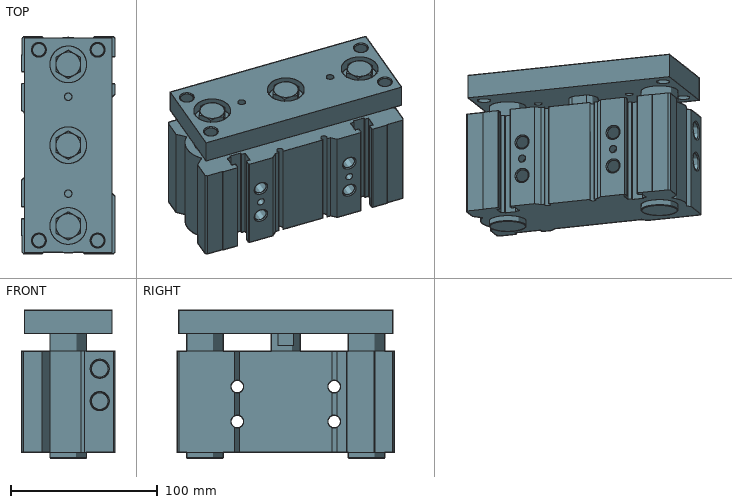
import cadquery as cq
import math


housing_width = 64.0
housing_length = 148
housing_height = 69.0
corner_chamfer = 1.2
lip_chamfer = 0.6
half_width = housing_width / 2
half_length = housing_length / 2

rod_diameter = 25.0
rod_spacing = 110.1
rod_overhang = 4.0
rod_end_chamfer = 0.5
piston_rod_diameter = 20.0
piston_rod_engagement = 44.4
wrench_flat_width = 17.0
wrench_flat_height = 8.0
plate_gap = 12.0
plate_width = 59.8
plate_length = 146.1
plate_thickness = 16.0
plate_bottom = housing_height + plate_gap
plate_top = plate_bottom + plate_thickness
rod_y = rod_spacing / 2
guide_rows = (-rod_y, rod_y)
axes = [(0, -rod_y), (0, 0), (0, rod_y)]

counterbore_diameter = 25.0
counterbore_depth = 7.4
hex_across_flats = 16.7
hex_chamfer_angle = 30
plate_hole_diameter = 8.7
plate_hole_mouth = 10.0
plate_countersink_angle = 90
plate_hole_spacing_x = 40
plate_hole_spacing_y = 130.0
pin_hole_diameter = 5.0
pin_hole_depth = 8.9
mount_spacing = 66.0
mount_rows = (-mount_spacing / 2, mount_spacing / 2)

boss_radius = 18.5
end_recess_depth = 5.6
end_recess_edge = 17.9
port_side_recess_edge = 11.1

outer_step_y = 61.4
outer_step_depth = 0.5
side_recess_depth = 3.4
left_recess_edge = 24.0
right_recess_edge = 34.8
right_pocket_inner_y = 41.9
right_pocket_outer_y = 60.1

t_slot_y = 46.0
t_slot_mouth = 8.0
t_slot_lip = 4.1
t_slot_width = 13.3
t_slot_depth = 12.0
t_slot_groove_depth = 1.5

sensor_y = 16.5
sensor_mouth = 3.1
sensor_radius = 2.0
sensor_centre_depth = 1.9

cross_hole_diameter = 8.5
cross_hole_mouth = 10.0
cross_hole_heights = (21.0, 44.8)
side_pin_height = 33.0
port_diameter = 11.4
port_mouth = 13.0
port_depth = 14.8
port_x = 21.5
port_heights = (35.0, 57.0)


def upright(points):
    """Prism of an XY outline over the full housing height."""
    return cq.Workplane("XY").polyline(points).close().extrude(housing_height)


def upright_box(x_from, x_to, y_from, y_to):
    return upright([(x_from, y_from), (x_to, y_from), (x_to, y_to), (x_from, y_to)])


def chamfered_hole(start, direction, diameter, mouth, depth):
    """Round cutter with a 45 degree countersink at its start."""
    start = cq.Vector(*start)
    direction = cq.Vector(*direction)
    sink = (mouth - diameter) / 2
    shaft = cq.Solid.makeCylinder(diameter / 2, depth, start, direction)
    cone = cq.Solid.makeCone(mouth / 2, diameter / 2, sink, start, direction)
    return shaft.fuse(cone)


def mirrored_y(body):
    return body.mirror("XZ")


def end_recess(left, right):
    """Recess in the -Y end whose flanks slope inward at 45 degrees."""
    floor = end_recess_depth - half_length
    return upright(
        [
            (left, -half_length),
            (right, -half_length),
            (right - end_recess_depth, floor),
            (left + end_recess_depth, floor),
        ]
    )


def side_recess(side, edge):
    """Middle recess in the -X (side -1) or +X (side 1) face, with 45 degree flanks."""
    face = side * half_width
    floor = face - side * side_recess_depth
    floor_edge = edge - side_recess_depth
    return upright([(face, -edge), (face, edge), (floor, floor_edge), (floor, -floor_edge)])


def lip_bevel(side, y_from, y_to):
    """Bevels both edges of an opening in a long side face."""
    face = side * half_width
    floor = face - side * lip_chamfer
    return upright(
        [
            (face, y_from - lip_chamfer),
            (face, y_to + lip_chamfer),
            (floor, y_to),
            (floor, y_from),
        ]
    )


def t_slot():
    face = -half_width
    floor = face + t_slot_depth
    mouth_from = t_slot_y - t_slot_mouth / 2
    mouth_to = t_slot_y + t_slot_mouth / 2
    neck = upright_box(face, floor + t_slot_groove_depth, mouth_from, mouth_to)
    chamber = upright_box(
        face + t_slot_lip, floor, t_slot_y - t_slot_width / 2, t_slot_y + t_slot_width / 2
    )
    return neck.union(chamber).union(lip_bevel(-1, mouth_from, mouth_to))


def right_pocket():
    """Pocket in the +X face, on the +Y half only."""
    pocket = upright_box(
        half_width - side_recess_depth, half_width, right_pocket_inner_y, right_pocket_outer_y
    )
    return pocket.union(lip_bevel(1, right_pocket_inner_y, right_pocket_outer_y))


def sensor_groove():
    face = side_recess_depth - half_width
    centre_x = face + sensor_centre_depth
    mouth = upright_box(face, centre_x, sensor_y - sensor_mouth / 2, sensor_y + sensor_mouth / 2)
    bulb = (
        cq.Workplane("XY").center(centre_x, sensor_y).circle(sensor_radius).extrude(housing_height)
    )
    return mouth.union(bulb)


def housing_profile():
    body = upright_box(-half_width, half_width, -half_length, half_length)
    step = upright_box(-half_width, outer_step_depth - half_width, outer_step_y, half_length)
    body = body.cut(step).cut(mirrored_y(step))
    body = body.edges("|Z and (<Y or >Y)").chamfer(corner_chamfer)
    body = body.cut(end_recess(-end_recess_edge, port_side_recess_edge))
    body = body.cut(mirrored_y(end_recess(-end_recess_edge, end_recess_edge)))
    body = body.cut(side_recess(-1, left_recess_edge)).cut(side_recess(1, right_recess_edge))
    body = body.cut(right_pocket())
    for slot in (t_slot(), sensor_groove()):
        body = body.cut(slot).cut(mirrored_y(slot))
    bosses = (
        cq.Workplane("XY")
        .pushPoints([(0, y) for y in guide_rows])
        .circle(boss_radius)
        .extrude(housing_height)
    )
    return body.union(bosses)


def cross_holes(y):
    """Two countersunk holes through the full width and a blind pin hole between them."""
    cutters = cq.Workplane()
    for z in cross_hole_heights:
        start = (-half_width, y, z)
        hole = chamfered_hole(start, (1, 0, 0), cross_hole_diameter, cross_hole_mouth, housing_width)
        cutters = cutters.add(hole)
    pin_start = cq.Vector(-half_width, y, side_pin_height)
    pin_hole = cq.Solid.makeCylinder(
        pin_hole_diameter / 2, pin_hole_depth, pin_start, cq.Vector(1, 0, 0)
    )
    return cutters.add(pin_hole).combine()


def air_port(z):
    start = (port_x, -half_length, z)
    return cq.Workplane(chamfered_hole(start, (0, 1, 0), port_diameter, port_mouth, port_depth))


def guide_bore(y):
    return cq.Workplane("XY").center(0, y).circle(rod_diameter / 2).extrude(housing_height)


def make_housing():
    body = housing_profile().cut(piston_rod())
    for y in guide_rows:
        body = body.cut(guide_bore(y))
    for y in mount_rows:
        body = body.cut(cross_holes(y))
    for z in port_heights:
        body = body.cut(air_port(z))
    return body


def guide_rod(y):
    return (
        cq.Workplane("XY", origin=(0, y, -rod_overhang))
        .circle(rod_diameter / 2)
        .extrude(plate_bottom + rod_overhang)
        .faces("<Z")
        .chamfer(rod_end_chamfer)
    )


def piston_rod():
    """Round rod with two wrench flats just under the plate."""
    bottom = housing_height - piston_rod_engagement
    rod = (
        cq.Workplane("XY", origin=(0, 0, bottom))
        .circle(piston_rod_diameter / 2)
        .extrude(plate_bottom - bottom)
    )
    flats = (
        cq.Workplane("XY", origin=(0, 0, plate_bottom - wrench_flat_height))
        .rect(piston_rod_diameter, piston_rod_diameter)
        .rect(wrench_flat_width, piston_rod_diameter)
        .extrude(wrench_flat_height)
    )
    return rod.cut(flats)


def hex_head(x, y):
    """Bolt head flush with the plate, flats facing +-X, top corners turned off to a circle."""
    floor = plate_top - counterbore_depth
    across_corners = hex_across_flats / math.cos(math.radians(30))
    head = (
        cq.Workplane("XY", origin=(x, y, floor))
        .transformed(rotate=(0, 0, 90))
        .polygon(6, across_corners)
        .extrude(counterbore_depth)
    )
    slope = math.tan(math.radians(hex_chamfer_angle))
    turned_cone = cq.Solid.makeCone(
        hex_across_flats / 2 + counterbore_depth / slope,
        hex_across_flats / 2,
        counterbore_depth,
        cq.Vector(x, y, floor),
    )
    return head.intersect(cq.Workplane(turned_cone))


def on_plate_top(plate):
    return plate.faces(">Z").workplane(origin=(0, 0, plate_top))


def make_plate():
    plate = (
        cq.Workplane("XY", origin=(0, 0, plate_bottom))
        .rect(plate_width, plate_length)
        .extrude(plate_thickness)
    )
    plate = on_plate_top(plate).pushPoints(axes).hole(counterbore_diameter, counterbore_depth)
    plate = (
        on_plate_top(plate)
        .rect(plate_hole_spacing_x, plate_hole_spacing_y, forConstruction=True)
        .vertices()
        .cskHole(plate_hole_diameter, plate_hole_mouth, plate_countersink_angle)
    )
    pin_points = [(0, y) for y in mount_rows]
    return on_plate_top(plate).pushPoints(pin_points).hole(pin_hole_diameter)


def make_moving_part():
    """Plate, guide rods, piston rod and bolt heads moving as one piece."""
    body = make_plate().union(piston_rod())
    for y in guide_rows:
        body = body.union(guide_rod(y))
    for x, y in axes:
        body = body.union(hex_head(x, y))
    return body


housing = make_housing()
moving_part = make_moving_part()
result = cq.Compound.makeCompound([housing.solids().val(), moving_part.solids().val()])